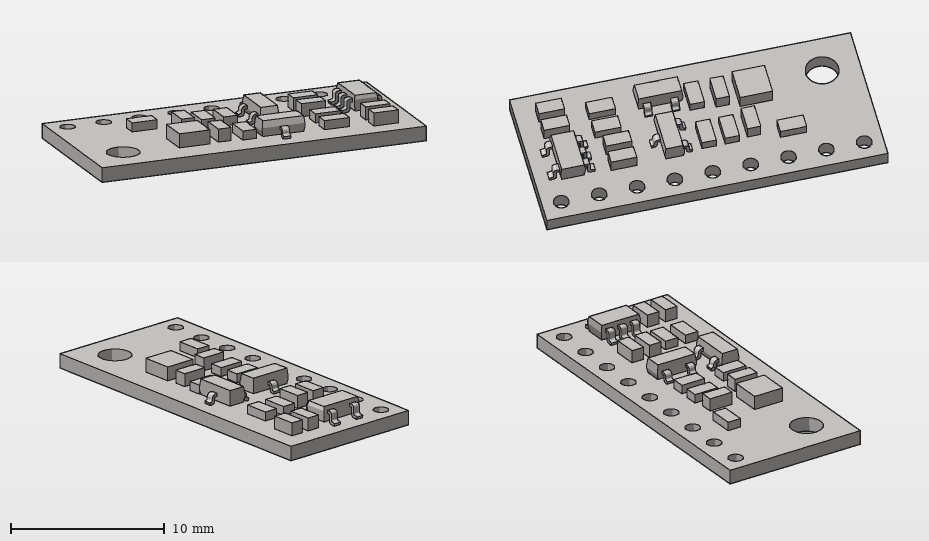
import cadquery as cq


BOARD_X = 10.15
BOARD_Y = 22.85
BOARD_Z = 1.0
TOTAL_Z = 2.22
PIN_HOLE_DIA = 1.0
PIN_HOLE_COUNT = 9
PIN_PITCH = 2.54
PIN_ROW_X = PIN_PITCH / 2
MOUNT_HOLE_DIA = 2.2
MOUNT_HOLE_X = 3 * PIN_PITCH
MOUNT_HOLE_Y = PIN_PITCH

CAPACITOR = (1.71, 0.9, 0.9, 0.3, 0.9)
RESISTOR = (1.75, 0.95, 0.62, 0.43, 0.011)
CHIP_ROW_TOP = 20.57
CHIP_ROW_CAPACITORS = 16.96
CHIP_ROW_RESISTORS = 17.33
CHIP_ROW_MIDDLE = 11.18
UPRIGHT_CAPACITORS = [
    (6.97, CHIP_ROW_TOP),
    (8.37, CHIP_ROW_TOP),
    (3.4, CHIP_ROW_CAPACITORS),
    (4.75, CHIP_ROW_CAPACITORS),
]
FLAT_CAPACITORS = [(7.2, 9.5), (4.35, 8.12)]
UPRIGHT_RESISTORS = [(6.26, CHIP_ROW_RESISTORS), (7.82, CHIP_ROW_RESISTORS), (3.43, 5.6)]
FLAT_RESISTORS = [(4.15, CHIP_ROW_MIDDLE), (7.38, CHIP_ROW_MIDDLE), (4.15, 9.62)]

SQUARE_CENTER = (7.1, 7.34)
SQUARE_SIDE = 2.17
SQUARE_Z = 0.95

PACKAGE_LENGTH = 3.02
PACKAGE_TOP = TOTAL_Z - BOARD_Z
PACKAGE_BOTTOM = 0.14
PACKAGE_DRAFT = 0.07
LEAD_WIDTH = 0.5
LEAD_THICKNESS = 0.2
INNER_BEND = 0.05
ANKLE_BEND = 0.11
HEEL_BEND = 0.2
FOOT_DROP = 0.07
TOE_LEAN = 0.05
TOE_SINK = 0.02

FIVE_LEAD_CENTER = (4.37, 20.4)
FIVE_LEAD_WIDTH = 1.65
FIVE_LEAD_PITCH = 0.95
FIVE_LEAD_TOP = 0.91
FIVE_LEAD_SHOULDER = 1.23
FIVE_LEAD_REACH = 1.55
FIVE_LEAD_BEND = 0.2

THREE_LEAD_CENTER = (4.37, 13.58)
TURNED_THREE_LEAD_CENTER = (7.89, 13.46)
THREE_LEAD_WIDTH = 1.3
THREE_LEAD_PITCH = 0.91
THREE_LEAD_TOP = 0.7
THREE_LEAD_SHOULDER = 1.07
THREE_LEAD_REACH = 1.28
THREE_LEAD_BEND = 0.3


def board():
    """Plate with a row of pin holes along one edge and a mounting hole in a corner."""
    first_pin_y = (BOARD_Y - (PIN_HOLE_COUNT - 1) * PIN_PITCH) / 2
    pins = [(PIN_ROW_X, first_pin_y + i * PIN_PITCH) for i in range(PIN_HOLE_COUNT)]
    plate = cq.Workplane("XY").box(BOARD_X, BOARD_Y, BOARD_Z, centered=False)
    for points, diameter in ((pins, PIN_HOLE_DIA), ([(MOUNT_HOLE_X, MOUNT_HOLE_Y)], MOUNT_HOLE_DIA)):
        plate = plate.cut(cq.Workplane("XY").pushPoints(points).circle(diameter / 2).extrude(BOARD_Z))
    return plate


def block(length, width, height):
    """Box standing on the XY plane, centred on Z."""
    return cq.Workplane("XY").box(length, width, height, centered=(True, True, False))


def chip(length, width, height, terminal, depth):
    """Chip along X with a flush terminal at each end; the terminal seams are kept."""
    part = block(length, width, height)
    end = block(terminal, width, depth).translate((0, 0, height - depth))
    terminal_x = (length - terminal) / 2
    for x in (-terminal_x, terminal_x):
        part = part.union(end.translate((x, 0, 0)), clean=False)
    return part


def package_body(width, belt_top):
    """Moulded body: a straight belt at lead height, drafted above and below it."""
    belt_bottom = belt_top - LEAD_THICKNESS

    def drafted(belt_z, end_z):
        return (
            cq.Workplane("XY", origin=(0, 0, belt_z))
            .rect(PACKAGE_LENGTH, width)
            .workplane(offset=end_z - belt_z)
            .rect(PACKAGE_LENGTH - 2 * PACKAGE_DRAFT, width - 2 * PACKAGE_DRAFT)
            .loft(ruled=True)
        )

    belt = block(PACKAGE_LENGTH, width, LEAD_THICKNESS).translate((0, 0, belt_bottom))
    return belt.union(drafted(belt_top, PACKAGE_TOP)).union(drafted(belt_bottom, PACKAGE_BOTTOM))


def lead(top, shoulder, reach, bend):
    """Gull-wing lead running toward +Y, with its foot sloping down to the toe."""
    inner = shoulder - LEAD_THICKNESS
    toe_top = LEAD_THICKNESS - TOE_SINK
    corners = {
        "shoulder": (shoulder, top),
        "ankle": (shoulder, toe_top + FOOT_DROP),
        "heel": (inner, FOOT_DROP),
        "armpit": (inner, top - LEAD_THICKNESS),
    }
    outline = [
        (0, top),
        corners["shoulder"],
        corners["ankle"],
        (reach, toe_top),
        (reach - TOE_LEAN, -TOE_SINK),
        corners["heel"],
        corners["armpit"],
        (0, top - LEAD_THICKNESS),
    ]
    radii = {
        "shoulder": bend,
        "ankle": ANKLE_BEND,
        "heel": HEEL_BEND,
        "armpit": max(bend - LEAD_THICKNESS, INNER_BEND),
    }
    strip = cq.Workplane("YZ").polyline(outline).close().extrude(LEAD_WIDTH / 2, both=True)
    for name, (y, z) in corners.items():
        strip = strip.edges(cq.NearestToPointSelector((0, y, z))).fillet(radii[name])
    return strip


def package(width, pitch, top, shoulder, reach, bend, front_slots, back_slots):
    """Body with leads; slots count lead pitches from the body's middle along X."""
    part = package_body(width, top)
    back_lead = lead(top, shoulder, reach, bend)
    front_lead = back_lead.rotate((0, 0, 0), (0, 0, 1), 180)
    for leg, slots in ((front_lead, front_slots), (back_lead, back_slots)):
        for slot in slots:
            part = part.union(leg.translate((slot * pitch, 0, 0)))
    return part


def placed(part, center, turn=0):
    """Turn a part about Z and stand it on the board."""
    return part.rotate((0, 0, 0), (0, 0, 1), turn).translate((*center, BOARD_Z))


five_lead = package(
    FIVE_LEAD_WIDTH, FIVE_LEAD_PITCH, FIVE_LEAD_TOP,
    FIVE_LEAD_SHOULDER, FIVE_LEAD_REACH, FIVE_LEAD_BEND,
    front_slots=(-1, 0, 1), back_slots=(-1, 1),
)
three_lead = package(
    THREE_LEAD_WIDTH, THREE_LEAD_PITCH, THREE_LEAD_TOP,
    THREE_LEAD_SHOULDER, THREE_LEAD_REACH, THREE_LEAD_BEND,
    front_slots=(-1, 1), back_slots=(0,),
)
square = block(SQUARE_SIDE, SQUARE_SIDE, SQUARE_Z)

components = [
    placed(five_lead, FIVE_LEAD_CENTER),
    placed(three_lead, THREE_LEAD_CENTER),
    placed(three_lead, TURNED_THREE_LEAD_CENTER, -90),
    placed(square, SQUARE_CENTER),
]
for sizes, centers, turn in (
    (CAPACITOR, UPRIGHT_CAPACITORS, 90),
    (CAPACITOR, FLAT_CAPACITORS, 0),
    (RESISTOR, UPRIGHT_RESISTORS, 90),
    (RESISTOR, FLAT_RESISTORS, 0),
):
    components += [placed(chip(*sizes), center, turn) for center in centers]

result = board()
for component in components:
    result = result.union(component, clean=False)